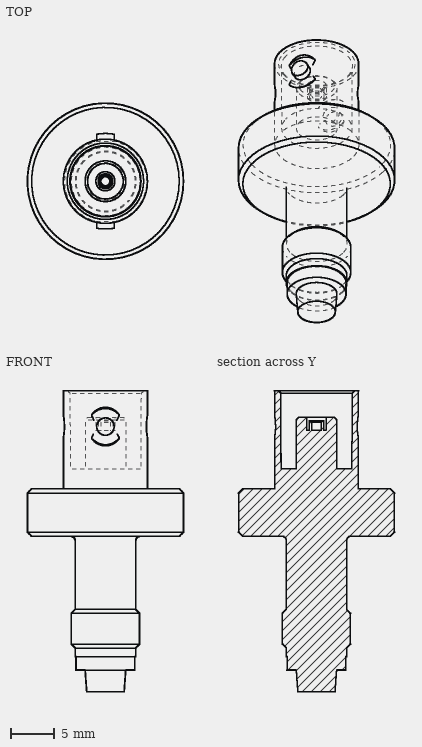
import cadquery as cq

tip_end_radius = 2.17
tip_root_radius = 2.35
tip_height = 2.5
ferrule_radius = 3.4
ferrule_top = 4.05
stem_radius = 3.5
collar_radius = 3.95
collar_chamfer = collar_radius - stem_radius
collar_bottom = 5.05
collar_top = 9.5

flange_radius = 9.0
flange_thickness = 5.5
flange_bottom = 17.9
flange_top = flange_bottom + flange_thickness
flange_chamfer = 0.5
neck_fillet = 0.5

total_height = 34.7
barrel_radius = 4.85
groove_depth = 0.12
groove_height = 2.6
groove_middle = 30.55
bore_mouth_radius = 4.1
bore_floor_radius = 4.05
bore_depth = 9.0
bore_floor = total_height - bore_depth
rim_chamfer = 0.3

post_radius = 2.35
post_chamfer = 0.3
post_top = total_height - 3.05
post_hole_radius = 1.1
post_hole_depth = 1.5
contact_radius = 0.85
contact_height = 1.05
contact_hole_radius = 0.53
contact_chamfer = 0.15

lug_radius = 1.0
lug_tip_radius = 5.5
lug_seat_floor_radius = 2.08
lug_seat_mouth_radius = 2.22
lug_seat_offset = 4.58


def disc(radius, bottom, top):
    """Upright cylinder on the main axis."""
    return cq.Workplane("XY").workplane(offset=bottom).circle(radius).extrude(top - bottom)


def cone(bottom_radius, top_radius, bottom, top):
    """Upright truncated cone on the main axis."""
    solid = cq.Solid.makeCone(bottom_radius, top_radius, top - bottom, cq.Vector(0, 0, bottom))
    return cq.Workplane("XY").add(solid)


def make_body():
    """Turned outside of the part, from the tip to the socket rim."""
    groove_bottom = groove_middle - groove_height / 2
    groove_top = groove_middle + groove_height / 2
    profile = (
        cq.Workplane("XZ")
        .moveTo(0, 0)
        .lineTo(tip_end_radius, 0)
        .lineTo(tip_root_radius, tip_height)
        .lineTo(ferrule_radius, tip_height)
        .lineTo(ferrule_radius, ferrule_top)
        .lineTo(stem_radius, ferrule_top)
        .lineTo(stem_radius, collar_bottom)
        .lineTo(collar_radius, collar_bottom + collar_chamfer)
        .lineTo(collar_radius, collar_top - collar_chamfer)
        .lineTo(stem_radius, collar_top)
        .lineTo(stem_radius, flange_bottom - neck_fillet)
        .radiusArc((stem_radius + neck_fillet, flange_bottom), neck_fillet)
        .lineTo(flange_radius - flange_chamfer, flange_bottom)
        .lineTo(flange_radius, flange_bottom + flange_chamfer)
        .lineTo(flange_radius, flange_top - flange_chamfer)
        .lineTo(flange_radius - flange_chamfer, flange_top)
        .lineTo(barrel_radius, flange_top)
        .lineTo(barrel_radius, groove_bottom)
        .threePointArc((barrel_radius - groove_depth, groove_middle), (barrel_radius, groove_top))
        .lineTo(barrel_radius, total_height)
        .lineTo(0, total_height)
        .close()
    )
    return profile.revolve(360, (0, 0, 0), (0, 1, 0))


def make_bore():
    """Slightly tapered socket bore with a chamfered mouth."""
    chamfer_bottom = total_height - rim_chamfer
    bore = cone(bore_floor_radius, bore_mouth_radius, bore_floor, chamfer_bottom)
    mouth = cone(bore_mouth_radius, bore_mouth_radius + rim_chamfer, chamfer_bottom, total_height)
    return bore.union(mouth)


def make_post():
    """Chamfered insulator post with the tubular contact in its hole."""
    hole_floor = post_top - post_hole_depth
    contact_top = hole_floor + contact_height
    post = disc(post_radius, bore_floor, post_top).faces(">Z").chamfer(post_chamfer)
    post = post.cut(disc(post_hole_radius, hole_floor, post_top))
    contact = disc(contact_radius, hole_floor, contact_top)
    contact = contact.cut(disc(contact_hole_radius, hole_floor, contact_top))
    mouth_bottom = contact_top - contact_chamfer
    mouth_radius = contact_hole_radius + contact_chamfer
    contact = contact.cut(cone(contact_hole_radius, mouth_radius, mouth_bottom, contact_top))
    return post.union(contact)


def make_lug_seat(side):
    """Flared round pocket with a flat floor around the lug, on the +Y or -Y side."""
    seat = cq.Solid.makeCone(
        lug_seat_floor_radius,
        lug_seat_mouth_radius,
        barrel_radius - lug_seat_offset,
        cq.Vector(0, side * lug_seat_offset, groove_middle),
        cq.Vector(0, side, 0),
    )
    return cq.Workplane("XY").add(seat)


def make_lugs():
    """Bayonet lugs whose ends follow a cylinder about the main axis."""
    bar_plane = cq.Workplane("XZ", origin=(0, 0, groove_middle))
    bar = bar_plane.circle(lug_radius).extrude(flange_radius, both=True)
    return bar.intersect(disc(lug_tip_radius, flange_top, total_height))


body = make_body().cut(make_lug_seat(-1)).cut(make_lug_seat(1)).union(make_lugs())
result = body.cut(make_bore()).union(make_post())